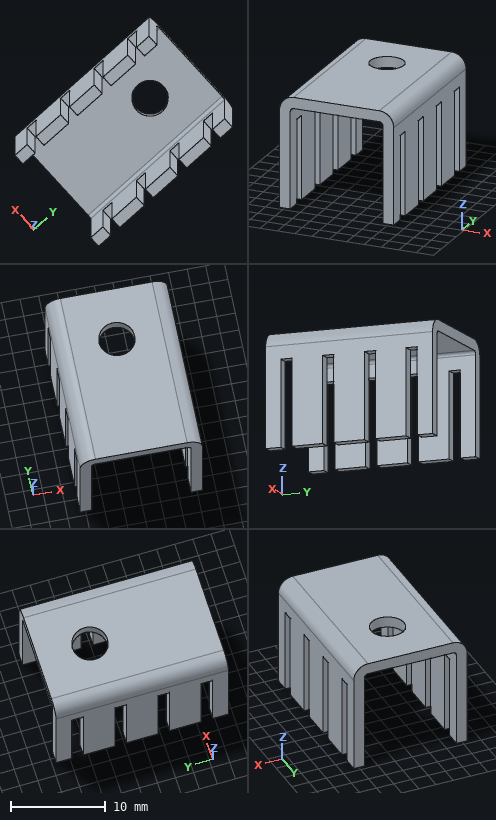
import cadquery as cq

width = 13.2
length = 19.1
height = 12.7

wall = 1.26
outer_radius = 1.66
inner_radius = outer_radius - wall

slot_count = 4
slot_width = 1.26
slot_pitch = length / slot_count
slot_height = 9.55

hole_diameter = 3.82
hole_from_back = 5.8


def channel():
    """Inverted U channel along Y, standing on Z = 0, with rounded bends."""
    outer = (
        cq.Workplane("XY")
        .box(width, length, height, centered=(True, True, False))
        .edges("|Y and >Z")
        .fillet(outer_radius)
    )
    inner = (
        cq.Workplane("XY")
        .box(width - 2 * wall, length, height - wall, centered=(True, True, False))
        .edges("|Y and >Z")
        .fillet(inner_radius)
    )
    return outer.cut(inner)


def fin_slots():
    """Evenly spaced slots, open at the bottom and crossing both side walls."""
    return (
        cq.Workplane("XY")
        .rarray(0.2, slot_pitch, 1, slot_count)
        .rect(width, slot_width)
        .extrude(slot_height)
    )


def mounting_hole():
    """Round hole through the top plate, on the centre plane."""
    return (
        cq.Workplane("XY")
        .center(0, length / 2 - hole_from_back)
        .circle(hole_diameter / 2)
        .extrude(height)
    )


result = channel().cut(fin_slots()).cut(mounting_hole())